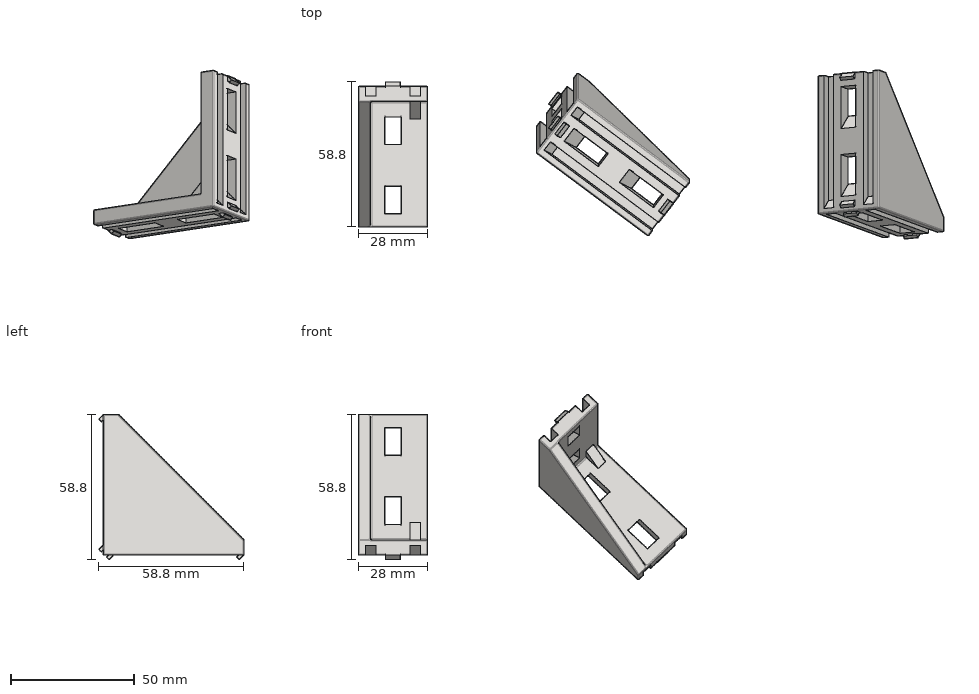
import cadquery as cq


width = 28.0
leg_length = 57.0
leg_thickness = 6.2
rib_thickness = 5.0
edge_radius = 0.5

hole_width = 6.6
hole_length = 11.1
hole_pitch = 28.0
first_hole = 18.0
hole_positions = (first_hole, first_hole + hole_pitch)

groove_width = 4.25
groove_depth = 4.0
groove_spacing = 18.0
groove_centers = (width / 2 - groove_spacing / 2, width / 2 + groove_spacing / 2)
web_offset = 2.0

gusset_leg = 7.0

tab_width = 6.1
tab_height = 1.8
tab_tip_step = 1.05
tab_root_depth = edge_radius
tab_tips = (2.4, 55.0)


def prism(points, x_start, length):
    """Extrude an outline of (distance out from the corner, height) points along X."""
    outline = [(-out, up) for out, up in points]
    return cq.Workplane("YZ").polyline(outline).close().extrude(length).translate((x_start, 0, 0))


def on_both_legs(shape):
    """Return a horizontal-leg shape together with its twin on the vertical leg."""
    twin = shape.mirror("XY").rotate((0, 0, 0), (1, 0, 0), -90)
    return shape, twin


def make_body():
    """Two legs and the side rib, with every edge and inner corner rounded."""
    side_outline = [
        (0, 0),
        (leg_length, 0),
        (leg_length, leg_thickness),
        (leg_thickness, leg_length),
        (0, leg_length),
    ]
    body = prism(side_outline, 0, width)
    opening = cq.Workplane("XY").box(width, leg_length, leg_length, centered=False)
    opening = opening.translate((rib_thickness, -leg_length - leg_thickness, leg_thickness))
    return body.cut(opening).edges().fillet(edge_radius)


def make_gusset():
    """Triangular gusset whose square corner is sunk to the depth of the grooves."""
    sunk_depth = leg_thickness - groove_depth
    far_end = leg_thickness + gusset_leg + sunk_depth
    points = [
        (groove_depth, groove_depth),
        (far_end, groove_depth),
        (groove_depth, far_end),
    ]
    return prism(points, groove_centers[1] - groove_width / 2, groove_width)


def make_groove(x_center):
    """Groove open at the leg end and closed by a 45-degree wall near the corner."""
    points = [
        (web_offset, 0),
        (leg_length, 0),
        (leg_length, groove_depth),
        (web_offset + groove_depth, groove_depth),
    ]
    return prism(points, x_center - groove_width / 2, groove_width)


def make_hole(position):
    """Bolt opening whose wall nearest the corner is undercut at 45 degrees."""
    near_end = position - hole_length / 2
    far_end = position + hole_length / 2
    points = [
        (near_end - leg_thickness, 0),
        (far_end, 0),
        (far_end, leg_thickness),
        (near_end, leg_thickness),
    ]
    return prism(points, width / 2 - hole_width / 2, hole_width)


def make_tab(tip):
    """Slanted tab with a blunt tip; its root is sunk just below the leg's outer face."""
    back = tip + tab_height
    front = tip + tab_height - 2 * tab_tip_step
    points = [
        (tip, -tab_height),
        (back, 0),
        (back, tab_root_depth),
        (front, tab_root_depth),
        (front, 0),
        (tip - tab_tip_step, tab_tip_step - tab_height),
    ]
    return prism(points, width / 2 - tab_width / 2, tab_width)


def make_square_end():
    """Block that keeps the outer end edge of a leg sharp across the tab width."""
    points = [
        (leg_length - edge_radius, 0),
        (leg_length, 0),
        (leg_length, edge_radius),
        (leg_length - edge_radius, edge_radius),
    ]
    return prism(points, width / 2 - tab_width / 2, tab_width)


result = make_body().union(make_gusset())

for position in hole_positions:
    for hole in on_both_legs(make_hole(position)):
        result = result.cut(hole)

for x_center in groove_centers:
    for groove in on_both_legs(make_groove(x_center)):
        result = result.cut(groove)

for square_end in on_both_legs(make_square_end()):
    result = result.union(square_end)

for tip in tab_tips:
    for tab in on_both_legs(make_tab(tip)):
        result = result.union(tab)